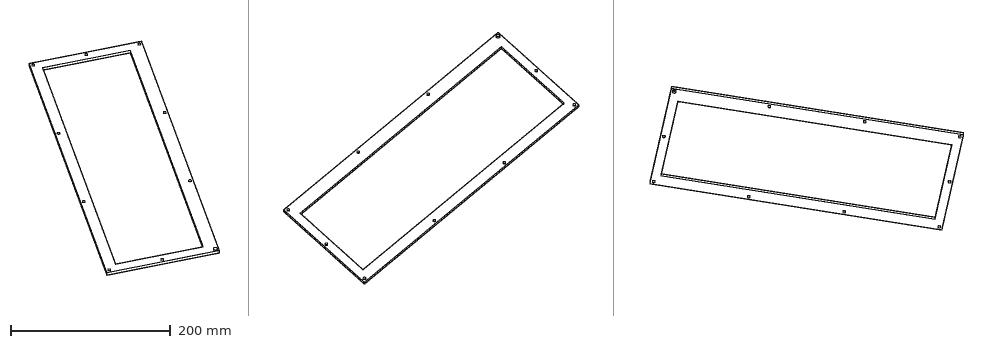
import cadquery as cq

length = 372.0
width = 146.0
thickness = 5.0

side_border = 11.5
front_border = 14.5
back_border = 18.0
window_length = length - 2 * side_border
window_width = width - front_border - back_border
window_center_y = (front_border - back_border) / 2

hole_diameter = 3.3
corner_hole_diameter = 5.0
hole_inset = 4.0
hole_x = length / 2 - hole_inset
hole_y = width / 2 - hole_inset
long_side_hole_x = hole_x / 3


def through_holes(plate, diameter, centers):
    """Drill holes of one diameter through the full plate thickness."""
    return plate.faces(">Z").workplane(origin=(0, 0, thickness)).pushPoints(centers).hole(diameter)


frame = cq.Workplane("XY").box(length, width, thickness, centered=(True, True, False))
window = (
    cq.Workplane("XY")
    .center(0, window_center_y)
    .rect(window_length, window_width)
    .extrude(thickness)
)
frame = frame.cut(window)

corner_hole = (hole_x, hole_y)
small_holes = [(x, 0) for x in (-hole_x, hole_x)]
for y in (-hole_y, hole_y):
    for x in (-hole_x, -long_side_hole_x, long_side_hole_x, hole_x):
        if (x, y) != corner_hole:
            small_holes.append((x, y))

frame = through_holes(frame, hole_diameter, small_holes)
result = through_holes(frame, corner_hole_diameter, [corner_hole])